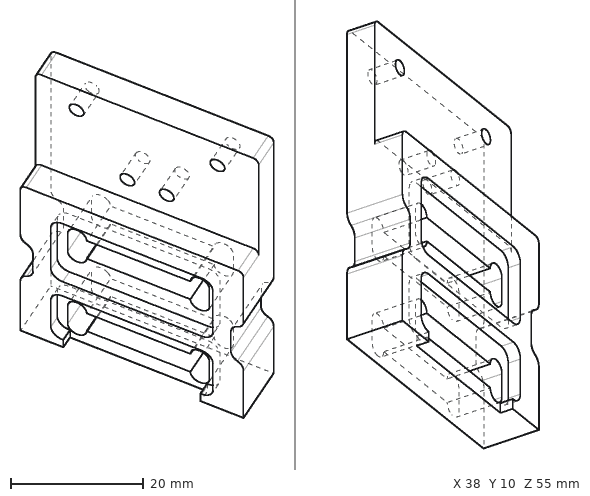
import cadquery as cq

width = 38.0
height = 55.0
thickness = 10.0
plate_thickness = thickness / 2
block_height = 33.95
top_corner_radius = 1.0

hole_diameter = 2.5
hole_pairs = [(12.0, 50.0), (3.35, 38.4)]

slot_pitch = 16.95
lower_slot_z = 5.1
upper_slot_z = lower_slot_z + slot_pitch
slot_bar_height = 4.2
slot_end_diameter = 3.25
slot_end_height = 7.35
slot_end_offset = 10.45

pocket_width = 27.6
pocket_depth = 2.2
pocket_corner_radius = 2.0
upper_pocket_bottom = 15.3
upper_pocket_top = 28.8
lower_pocket_bottom = 1.75
lower_pocket_top = 11.95
pocket_opening_width = 23.3

notch_depth = 2.15
left_notch_bottom = 11.6
right_notch_bottom = 11.1
notch_top = 22.4
flank_height = 3.3
flank_radius = (flank_height**2 + notch_depth**2) / (4 * notch_depth)

front_y = 0.0


def front_sketch():
    """Workplane facing -Y: local x is X and local y is Z."""
    return cq.Workplane("XZ", origin=(0, front_y, 0))


def box_between(x_size, z_bottom, z_top, y_start, y_size):
    """Box centred on X, standing from z_bottom to z_top and running back from y_start."""
    z_size = z_top - z_bottom
    return cq.Workplane("XY", origin=(0, y_start, z_bottom)).box(
        x_size, y_size, z_size, centered=(True, False, False)
    )


def rounded_top_slab(z_top, y_start, y_size):
    slab = box_between(width, 0, z_top, y_start, y_size)
    return slab.faces(">Z").edges("|Y").fillet(top_corner_radius)


def pocket(z_bottom, z_top):
    recess = box_between(pocket_width, z_bottom, z_top, front_y, pocket_depth)
    return recess.edges("|Y").fillet(pocket_corner_radius)


def slot(z_center):
    bar = (
        front_sketch()
        .center(0, z_center)
        .rect(2 * slot_end_offset, slot_bar_height)
        .extrude(-thickness)
    )
    ends = (
        front_sketch()
        .center(0, z_center)
        .pushPoints([(-slot_end_offset, 0), (slot_end_offset, 0)])
        .slot2D(slot_end_height, slot_end_diameter, 90)
        .extrude(-thickness)
    )
    return bar.union(ends)


def left_notch(notch_bottom):
    """Cutter for the left side; its inner wall is parallel to the side face."""
    outer_x = -width / 2
    middle_x = outer_x + notch_depth / 2
    inner_x = outer_x + notch_depth
    return (
        front_sketch()
        .moveTo(outer_x, notch_bottom)
        .radiusArc((middle_x, notch_bottom + flank_height / 2), flank_radius)
        .radiusArc((inner_x, notch_bottom + flank_height), -flank_radius)
        .lineTo(inner_x, notch_top - flank_height)
        .radiusArc((middle_x, notch_top - flank_height / 2), -flank_radius)
        .radiusArc((outer_x, notch_top), flank_radius)
        .close()
        .extrude(-thickness)
    )


block = rounded_top_slab(block_height, front_y, plate_thickness)
plate = rounded_top_slab(height, plate_thickness, plate_thickness)
body = block.union(plate)

for half_spacing, hole_z in hole_pairs:
    holes = (
        front_sketch()
        .pushPoints([(-half_spacing, hole_z), (half_spacing, hole_z)])
        .circle(hole_diameter / 2)
        .extrude(-thickness)
    )
    body = body.cut(holes)

body = body.cut(pocket(upper_pocket_bottom, upper_pocket_top))
body = body.cut(pocket(lower_pocket_bottom, lower_pocket_top))

opening_top = lower_pocket_bottom + pocket_corner_radius
body = body.cut(box_between(pocket_opening_width, 0, opening_top, front_y, pocket_depth))

for slot_z in (lower_slot_z, upper_slot_z):
    body = body.cut(slot(slot_z))

body = body.cut(left_notch(left_notch_bottom))
body = body.cut(left_notch(right_notch_bottom).mirror("YZ"))

result = body